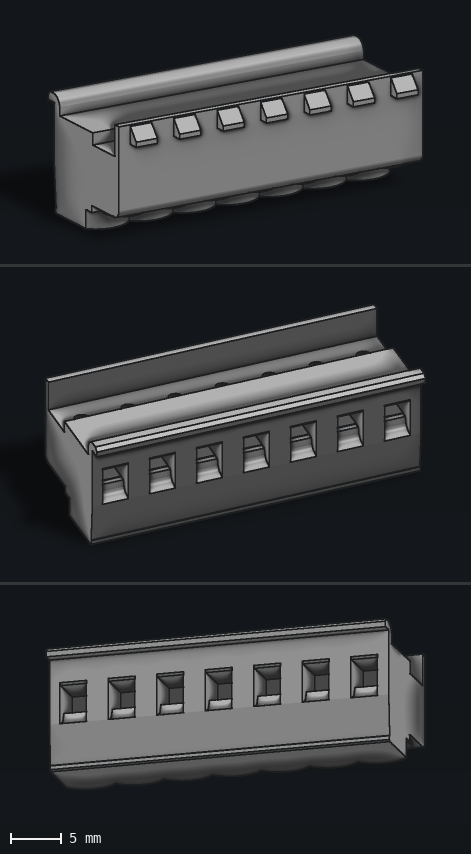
import cadquery as cq

LENGTH = 35.0
WIDTH = 14.7
HEIGHT = 12.35

POSITIONS = 7
ROW_SHIFT_Y = 0.05
PITCH = LENGTH / POSITIONS

FRONT_X = 1.2
LIP_BOTTOM_Z = 11.4
LIP_CHAMFER = 0.4
LIP_ROUND = 1.12
LIP_ROUND_RADIUS = 1.25
LIP_BACK_X = 2.25

UPPER_DECK_Z = 10.32
DECK_STEP_X = 8.55
LOWER_DECK_Z = 9.05
REAR_INNER_X = 12.78
REAR_X = 13.58

UNDERSIDE_Z = 2.73
REAR_BOTTOM_ROUND = 0.88
FOOT_BACK_X = 8.35
TAPER_TOP_Z = 4.75
TAPER_FOOT_X = 1.5
TOE_X = 1.4
TOE_HEIGHT = 0.6
TOE_CHAMFER = 0.18

SCALLOP_HEIGHT = 2.0
SCALLOP_DEPTH = 1.12
SCALLOP_CREST_X = FOOT_BACK_X - 0.05

LATCH_WIDTH = 2.45
LATCH_BOTTOM_Z = UPPER_DECK_Z
LATCH_TIP_Z = 10.85
LATCH_TOP_Z = 12.18

HOLE_X = 10.08
HOLE_DIAMETER = 1.5
BOSS_DIAMETER = 4.2
BOSS_BOTTOM_Z = 2.3

POCKET_WIDTH = 2.73
POCKET_TOP_Z = 9.0
POCKET_CEILING_Z = 8.75
CEILING_SLOPE_RUN = 0.18
POCKET_DEPTH = 4.2
RAMP_RUN = 0.75
RAMP_RISE = 0.3
CURVE_RUN = 0.4
CURVE_RISE = 0.42
CURVE_BULGE = 0.05
SILL_RUN = 0.18
SILL_RISE = 0.7
SHELF_RUN = 0.6
SHELF_STEP = 0.07

CENTRES_Y = [(i - (POSITIONS - 1) / 2) * PITCH for i in range(POSITIONS)]


def extrude_along_y(outline, length, centre_y=0.0):
    """Extrude a closed XZ outline, centred on the given Y."""
    return outline.extrude(length / 2, both=True).translate((0, centre_y, 0))


def make_body():
    round_start_x = LIP_BACK_X - LIP_ROUND
    round_end_z = HEIGHT - LIP_ROUND
    round_bottom_x = REAR_X - REAR_BOTTOM_ROUND
    round_top_z = UNDERSIDE_Z + REAR_BOTTOM_ROUND
    outline = (
        cq.Workplane("XZ")
        .moveTo(0, LIP_BOTTOM_Z)
        .lineTo(0, HEIGHT - LIP_CHAMFER)
        .lineTo(LIP_CHAMFER, HEIGHT)
        .lineTo(round_start_x, HEIGHT)
        .radiusArc((LIP_BACK_X, round_end_z), LIP_ROUND_RADIUS)
        .lineTo(LIP_BACK_X, UPPER_DECK_Z)
        .lineTo(DECK_STEP_X, UPPER_DECK_Z)
        .lineTo(DECK_STEP_X, LOWER_DECK_Z)
        .lineTo(REAR_INNER_X, LOWER_DECK_Z)
        .lineTo(REAR_INNER_X, HEIGHT)
        .lineTo(REAR_X, HEIGHT)
        .lineTo(REAR_X, round_top_z)
        .radiusArc((round_bottom_x, UNDERSIDE_Z), REAR_BOTTOM_ROUND)
        .lineTo(FOOT_BACK_X, UNDERSIDE_Z)
        .lineTo(FOOT_BACK_X, 0)
        .lineTo(TOE_X + TOE_CHAMFER, 0)
        .lineTo(TOE_X, TOE_CHAMFER)
        .lineTo(TOE_X, TOE_HEIGHT)
        .lineTo(TAPER_FOOT_X, TOE_HEIGHT)
        .lineTo(FRONT_X, TAPER_TOP_Z)
        .lineTo(FRONT_X, LIP_BOTTOM_Z)
        .close()
    )
    return extrude_along_y(outline, LENGTH)


def make_scallop_cutter(centre_y):
    """Material to remove so the foot's back bulges out in an arc one pitch wide."""
    start_x = SCALLOP_CREST_X - SCALLOP_DEPTH
    left_y = centre_y - PITCH / 2
    right_y = centre_y + PITCH / 2
    return (
        cq.Workplane("XY")
        .moveTo(start_x, left_y)
        .threePointArc((SCALLOP_CREST_X, centre_y), (start_x, right_y))
        .lineTo(FOOT_BACK_X, right_y)
        .lineTo(FOOT_BACK_X, left_y)
        .close()
        .extrude(SCALLOP_HEIGHT)
    )


def make_latch(centre_y):
    outline = cq.Workplane("XZ").polyline([
        (REAR_INNER_X, LATCH_BOTTOM_Z),
        (WIDTH, LATCH_BOTTOM_Z),
        (WIDTH, LATCH_TIP_Z),
        (REAR_X, LATCH_TOP_Z),
        (REAR_INNER_X, LATCH_TOP_Z),
    ]).close()
    return extrude_along_y(outline, LATCH_WIDTH, centre_y)


def make_boss(centre_y):
    return (
        cq.Workplane("XY")
        .workplane(offset=BOSS_BOTTOM_Z)
        .center(HOLE_X, centre_y)
        .circle(BOSS_DIAMETER / 2)
        .extrude(LOWER_DECK_Z - BOSS_BOTTOM_Z)
    )


def make_screw_hole(centre_y):
    return (
        cq.Workplane("XY")
        .center(HOLE_X, centre_y)
        .circle(HOLE_DIAMETER / 2)
        .extrude(HEIGHT)
    )


def make_pocket(centre_y):
    """Wire entry: a ramp, a short curve and a sill lead up to a stepped shelf."""
    ramp_end = (FRONT_X + RAMP_RUN, TAPER_TOP_Z + RAMP_RISE)
    curve_end = (ramp_end[0] + CURVE_RUN, ramp_end[1] + CURVE_RISE)
    curve_mid = (
        (ramp_end[0] + curve_end[0]) / 2 + CURVE_BULGE,
        (ramp_end[1] + curve_end[1]) / 2 - CURVE_BULGE,
    )
    shelf_x = curve_end[0] + SILL_RUN
    shelf_z = curve_end[1] + SILL_RISE
    step_x = shelf_x + SHELF_RUN
    back_x = FRONT_X + POCKET_DEPTH
    outline = (
        cq.Workplane("XZ")
        .moveTo(FRONT_X, TAPER_TOP_Z)
        .lineTo(*ramp_end)
        .threePointArc(curve_mid, curve_end)
        .lineTo(shelf_x, shelf_z)
        .lineTo(step_x, shelf_z)
        .lineTo(step_x, shelf_z + SHELF_STEP)
        .lineTo(back_x, shelf_z + SHELF_STEP)
        .lineTo(back_x, POCKET_CEILING_Z)
        .lineTo(FRONT_X + CEILING_SLOPE_RUN, POCKET_CEILING_Z)
        .lineTo(FRONT_X, POCKET_TOP_Z)
        .close()
    )
    return extrude_along_y(outline, POCKET_WIDTH, centre_y)


result = make_body()
for scallop_y in CENTRES_Y:
    result = result.cut(make_scallop_cutter(scallop_y))
for scallop_y in CENTRES_Y:
    terminal_y = scallop_y + ROW_SHIFT_Y
    result = result.union(make_latch(terminal_y)).union(make_boss(terminal_y))
    result = result.cut(make_screw_hole(terminal_y)).cut(make_pocket(terminal_y))